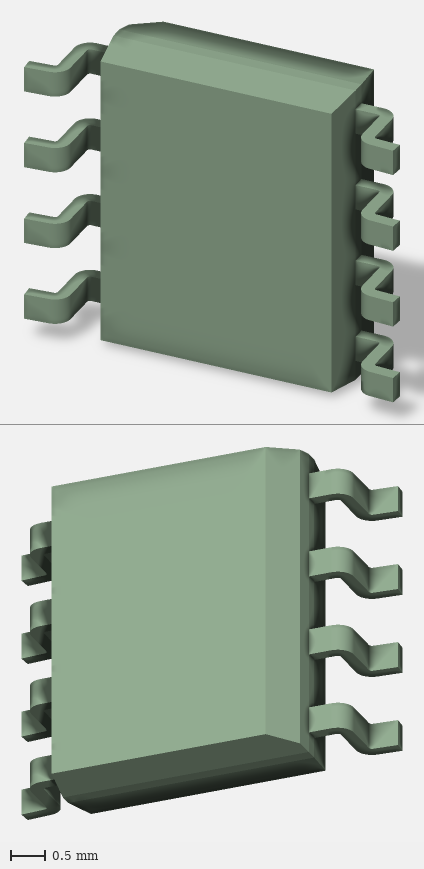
import cadquery as cq
import math


TOTAL_DEPTH = 1.73

LEAD_SPAN = 5.99
LEAD_THICKNESS = 0.205
LEAD_WIDTH = 0.41
LEAD_PITCH = 1.27
LEADS_PER_SIDE = 4
LEG_MID_X = 2.46
BEND_RADIUS = 0.15
FOOT_TILT = math.radians(4)

BODY_WIDTH = 3.91
BODY_LENGTH = 4.85
BACK_DEPTH = 0.63
FRONT_DEPTH = 0.64
DRAFT_ANGLE = 8
CHAMFER_WIDTH = 0.42
CHAMFER_DEPTH = 0.415

BAND_HALF = LEAD_THICKNESS / 2
BODY_SIDE_X = BODY_WIDTH / 2
BACK_FACE_Y = BAND_HALF + BACK_DEPTH
FOOT_TIP_Y = BACK_FACE_Y - TOTAL_DEPTH


def drafted_half(depth, side):
    """Half of the housing narrowing from the seam band to its end face; side is +1 for +Y, -1 for -Y."""
    half = (
        cq.Workplane("XZ", origin=(0, -BAND_HALF, 0))
        .rect(BODY_WIDTH, BODY_LENGTH)
        .extrude(depth, taper=DRAFT_ANGLE)
    )
    if side > 0:
        half = half.mirror("XZ")
    return half


def make_housing():
    """Moulded housing: straight seam band, two drafted halves and the orientation chamfer."""
    band = cq.Workplane("XY").box(BODY_WIDTH, LEAD_THICKNESS, BODY_LENGTH)
    body = band.union(drafted_half(BACK_DEPTH, 1)).union(drafted_half(FRONT_DEPTH, -1))

    chamfer_corner = (
        cq.Workplane("XY")
        .moveTo(-BODY_SIDE_X, BACK_FACE_Y)
        .lineTo(-BODY_SIDE_X + CHAMFER_WIDTH, BACK_FACE_Y)
        .lineTo(-BODY_SIDE_X, BACK_FACE_Y - CHAMFER_DEPTH)
        .close()
        .extrude(BODY_LENGTH / 2, both=True)
    )
    return body.cut(chamfer_corner)


def make_lead():
    """Gull-wing lead on the +X side, centred at Z = 0, butting against the seam band."""
    shoulder_x = LEG_MID_X - BEND_RADIUS
    toe_x = LEAD_SPAN / 2 - BAND_HALF * math.sin(FOOT_TILT)
    toe_y = FOOT_TIP_Y + BAND_HALF * math.cos(FOOT_TILT)

    foot_start_x = LEG_MID_X + BEND_RADIUS * (1 - math.sin(FOOT_TILT))
    foot_start_y = toe_y + (toe_x - foot_start_x) * math.tan(FOOT_TILT)
    bend_centre_y = foot_start_y + BEND_RADIUS * math.cos(FOOT_TILT)

    centreline = (
        cq.Workplane("XY")
        .moveTo(BODY_SIDE_X, 0)
        .lineTo(shoulder_x, 0)
        .tangentArcPoint((LEG_MID_X, -BEND_RADIUS), relative=False)
        .lineTo(LEG_MID_X, bend_centre_y)
        .tangentArcPoint((foot_start_x, foot_start_y), relative=False)
        .lineTo(toe_x, toe_y)
    )
    return (
        cq.Workplane("YZ", origin=(BODY_SIDE_X, 0, 0))
        .rect(LEAD_THICKNESS, LEAD_WIDTH)
        .sweep(centreline)
    )


housing = make_housing()

right_lead = make_lead()
left_lead = right_lead.mirror("YZ")
leads = []
for row in range(LEADS_PER_SIDE):
    lead_z = (row - (LEADS_PER_SIDE - 1) / 2) * LEAD_PITCH
    for lead in (left_lead, right_lead):
        leads.append(lead.translate((0, 0, lead_z)).val())

result = cq.Compound.makeCompound([housing.val(), *leads])